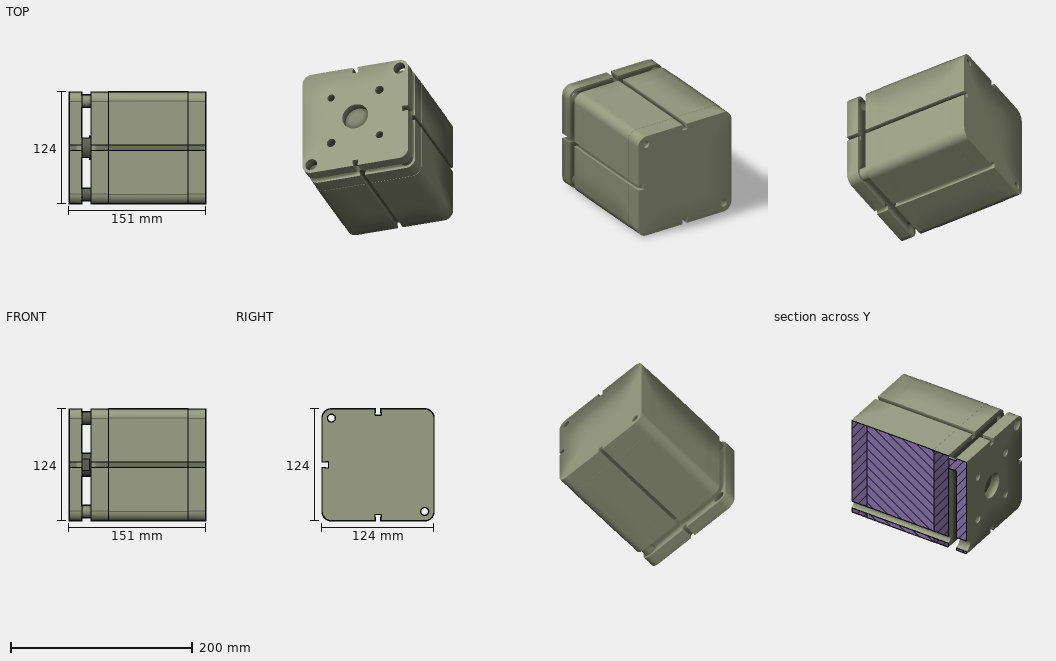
import cadquery as cq

total_length = 151.0
barrel_width = 124.0
block_width = 123.5
corner_radius = 10.5

plate_thickness = 14.0
stroke_gap = 10.0
front_cap_length = 19.6
rear_cap_length = 19.8
front_cap_x = plate_thickness + stroke_gap
barrel_x = front_cap_x + front_cap_length
rear_cap_x = total_length - rear_cap_length
barrel_length = rear_cap_x - barrel_x

slot_neck_width = 5.7
slot_inner_width = 6.6
slot_depth = 7.1
block_lip = 3.2
barrel_lip = 4.1
slot_angles = (0, 90, 180)

corner_pitch = 51.5
guide_rod_diameter = 14.2
bolt_clearance_diameter = 8.5
plate_access_diameter = 13.6

tool_pitch = 28.2
thread_hole_diameter = 8.6
pin_hole_diameter = 10.1
recess_diameter = 30.0
recess_depth = 10.3

rod_diameter = 25.5
rod_flat_width = 21.9
rod_collar_length = 1.5
flat_length = stroke_gap - rod_collar_length

guide_rod_points = [(corner_pitch, corner_pitch), (-corner_pitch, -corner_pitch)]
bolt_points = [(-corner_pitch, corner_pitch), (corner_pitch, -corner_pitch)]
thread_hole_points = [(tool_pitch, tool_pitch), (-tool_pitch, -tool_pitch)]
pin_hole_points = [(-tool_pitch, tool_pitch), (tool_pitch, -tool_pitch)]


def section_plane(x):
    """Sketch plane across the cylinder: local x is Y, local y is Z, extrusions run toward +X."""
    return cq.Workplane("YZ", origin=(x, 0, 0))


def discs(x, length, diameter, points):
    """Cylinders along X at the given (Y, Z) points, used as rods and as hole cutters."""
    return section_plane(x).pushPoints(points).circle(diameter / 2).extrude(length)


def t_slot(x, length, lip):
    """T-slot cutter open toward +Z, with the lip measured from the outside of the barrel."""
    outer = barrel_width / 2
    neck = section_plane(x).center(0, outer - slot_depth / 2)
    neck = neck.rect(slot_neck_width, slot_depth).extrude(length)
    inner_height = slot_depth - lip
    inner = section_plane(x).center(0, outer - slot_depth + inner_height / 2)
    inner = inner.rect(slot_inner_width, inner_height).extrude(length)
    return neck.union(inner)


def slotted_block(x, length, width, lip):
    """Square block with round corners and a T-slot in three of its long sides."""
    block = section_plane(x).rect(width, width).extrude(length)
    block = block.edges("|X").fillet(corner_radius)
    slot = t_slot(x, length, lip)
    for angle in slot_angles:
        block = block.cut(slot.rotate((0, 0, 0), (1, 0, 0), angle))
    return block


def housing_section(x, length, width, lip):
    """Slotted block with the through holes for the long mounting bolts."""
    return slotted_block(x, length, width, lip).cut(discs(x, length, bolt_clearance_diameter, bolt_points))


def make_front_plate():
    """Front plate with its holes, a central blind recess and the two guide rods on its back."""
    plate = slotted_block(0, plate_thickness, block_width, block_lip)
    plate = plate.cut(discs(0, plate_thickness, plate_access_diameter, bolt_points))
    plate = plate.cut(discs(0, plate_thickness, thread_hole_diameter, thread_hole_points))
    plate = plate.cut(discs(0, plate_thickness, pin_hole_diameter, pin_hole_points))
    plate = plate.cut(discs(0, recess_depth, recess_diameter, [(0, 0)]))
    rods = discs(plate_thickness, stroke_gap, guide_rod_diameter, guide_rod_points)
    return plate.union(rods)


def make_piston_rod():
    """Piston rod across the gap, with two wrench flats that stop at a round collar."""
    flats = section_plane(plate_thickness).rect(rod_flat_width, rod_diameter).extrude(flat_length)
    shank = discs(plate_thickness, flat_length, rod_diameter, [(0, 0)]).intersect(flats)
    collar = discs(plate_thickness + flat_length, rod_collar_length, rod_diameter, [(0, 0)])
    return shank.union(collar)


front_plate = make_front_plate()
piston_rod = make_piston_rod()
front_cap = housing_section(front_cap_x, front_cap_length, block_width, block_lip)
barrel = housing_section(barrel_x, barrel_length, barrel_width, barrel_lip)
rear_cap = housing_section(rear_cap_x, rear_cap_length, block_width, block_lip)

result = cq.Compound.makeCompound(
    [front_plate.val(), piston_rod.val(), front_cap.val(), barrel.val(), rear_cap.val()]
)